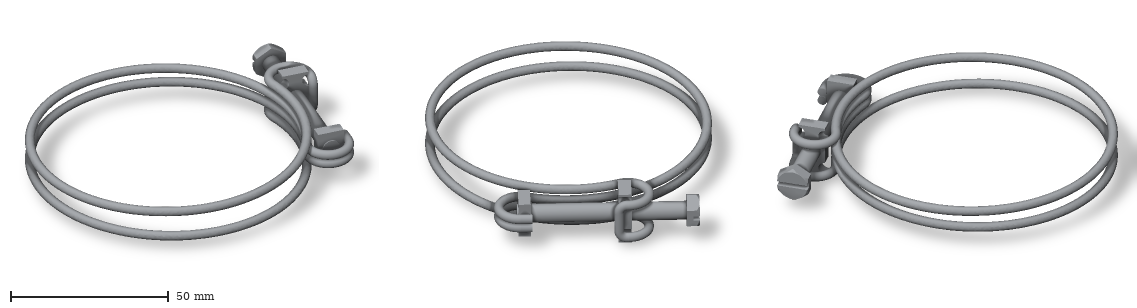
import cadquery as cq
import math


overall_length = 101.4
ring_outer_diameter = 91.0
wire_diameter = 3.0
outer_strand_z = 6.0
strand_gap = 0.1

hook_center_x = 17.1
clip_lead = 0.5
clip_bend_radius = 2.5
wire_end_length = 3.7
joint_length = 0.7

block_width = 8.7
block_hook_clearance = 0.05
spacer_thickness = 4.2
spacer_height = 18.0
spacer_left_x = -18.2
groove_radius = 2.1
nut_thickness = 3.9
nut_height = 12.0
nut_left_x = 13.9

shank_diameter = 6.0
shank_end_x = 18.2
head_left_x = -39.8
head_thickness = 4.1
head_across_flats = 10.0
head_face_diameter = 9.9
head_chamfer_length = 1.0
slot_width = 1.5
slot_depth = 2.0

wire_radius = wire_diameter / 2
ring_radius = (ring_outer_diameter - wire_diameter) / 2
inner_strand_z = wire_radius + strand_gap / 2
hook_top_y = overall_length - ring_outer_diameter / 2 - wire_radius

hook_radius = (hook_top_y**2 + hook_center_x**2 - ring_radius**2) / (2 * (hook_top_y + ring_radius))
hook_center_y = hook_top_y - hook_radius
hook_angle = math.atan2(hook_center_y, hook_center_x)
joint_angle = joint_length / ring_radius

block_top_y = hook_top_y - wire_radius - block_hook_clearance
bolt_y = block_top_y - block_width / 2


def on_ring(angle, z):
    return cq.Vector(ring_radius * math.cos(angle), ring_radius * math.sin(angle), z)


def ring_direction(angle, climb=0.0):
    """Unit tangent of the ring, counter-clockwise, climbing along Z by `climb` per unit length."""
    return cq.Vector(-math.sin(angle), math.cos(angle), climb).normalized()


def hook_arc(side, z):
    """Arc from the top of a hook, round its outside, to the ring; side is +1 (right) or -1 (left)."""
    top = cq.Vector(side * hook_center_x, hook_top_y, z)
    outside = cq.Vector(side * (hook_center_x + hook_radius), hook_center_y, z)
    foot = cq.Vector(side * ring_radius * math.cos(hook_angle), ring_radius * math.sin(hook_angle), z)
    return cq.Edge.makeThreePointArc(top, outside, foot)


def round_wire(edges, start, direction):
    """Sweep the round wire section along a smooth chain of edges."""
    section = cq.Workplane(cq.Plane(start, normal=direction)).circle(wire_radius)
    return section.sweep(cq.Workplane(cq.Wire.assembleEdges(edges)))


def ring_wire():
    free_end = cq.Vector(hook_center_x - wire_end_length, hook_top_y, inner_strand_z)
    hook_top = cq.Vector(hook_center_x, hook_top_y, inner_strand_z)
    ring_start = hook_angle
    ring_end = 3 * math.pi - hook_angle
    helix_start = ring_start + joint_angle
    helix_end = ring_end - joint_angle
    turn = helix_end - helix_start
    rise = outer_strand_z - inner_strand_z
    climb = rise / (turn * ring_radius)

    helix = cq.Wire.makeHelix(rise * 2 * math.pi / turn, rise, ring_radius)
    helix = helix.rotate(cq.Vector(), cq.Vector(0, 0, 1), math.degrees(helix_start))
    helix = helix.translate(cq.Vector(0, 0, inner_strand_z))
    first_joint = cq.Edge.makeSpline(
        [on_ring(ring_start, inner_strand_z), on_ring(helix_start, inner_strand_z)],
        tangents=[ring_direction(ring_start), ring_direction(helix_start, climb)],
    )
    last_joint = cq.Edge.makeSpline(
        [on_ring(helix_end, outer_strand_z), on_ring(ring_end, outer_strand_z)],
        tangents=[ring_direction(helix_end, climb), ring_direction(ring_end)],
    )
    edges = [
        cq.Edge.makeLine(free_end, hook_top),
        hook_arc(1, inner_strand_z),
        first_joint,
        *helix.Edges(),
        last_joint,
    ]
    return round_wire(edges, free_end, cq.Vector(1, 0, 0))


def wire_clip():
    bend_start_x = -hook_center_x + clip_lead
    crossbar_x = bend_start_x + clip_bend_radius
    bend_end_z = outer_strand_z - clip_bend_radius
    bend_diagonal = clip_bend_radius * math.sqrt(0.5)

    def at(x, z):
        return cq.Vector(x, hook_top_y, z)

    def corner(sign):
        return cq.Edge.makeThreePointArc(
            at(bend_start_x, sign * outer_strand_z),
            at(bend_start_x + bend_diagonal, sign * (bend_end_z + bend_diagonal)),
            at(crossbar_x, sign * bend_end_z),
        )

    def lead(sign):
        return cq.Edge.makeLine(
            at(-hook_center_x, sign * outer_strand_z), at(bend_start_x, sign * outer_strand_z)
        )

    edges = [
        hook_arc(-1, outer_strand_z),
        lead(1),
        corner(1),
        cq.Edge.makeLine(at(crossbar_x, bend_end_z), at(crossbar_x, -bend_end_z)),
        corner(-1),
        lead(-1),
        hook_arc(-1, -outer_strand_z),
    ]
    start_angle = math.pi - hook_angle
    return round_wire(edges, on_ring(start_angle, outer_strand_z), ring_direction(start_angle))


def bored_block(left_x, thickness, height):
    """Rectangular block with a hole that fits the bolt shank."""
    return (
        cq.Workplane("YZ", origin=(left_x, bolt_y, 0))
        .rect(block_width, height)
        .circle(shank_diameter / 2)
        .extrude(thickness)
    )


def spacer_block():
    """Tall block with round grooves along X that clear the clip wire."""
    grooves = (
        cq.Workplane("YZ", origin=(spacer_left_x, bolt_y, 0))
        .rect(block_width, 2 * outer_strand_z, forConstruction=True)
        .vertices()
        .circle(groove_radius)
        .extrude(spacer_thickness)
    )
    return bored_block(spacer_left_x, spacer_thickness, spacer_height).cut(grooves)


def clamp_bolt():
    corner_radius = head_across_flats / math.sqrt(3)
    face_radius = head_face_diameter / 2
    hexagon = (
        cq.Workplane("YZ", origin=(head_left_x, bolt_y, 0))
        .transformed(rotate=(0, 0, 90))
        .polygon(6, 2 * corner_radius)
        .extrude(head_thickness)
    )
    chamfer_limit = (
        cq.Workplane("XY", origin=(head_left_x, bolt_y, 0))
        .lineTo(0, face_radius)
        .lineTo(head_chamfer_length, corner_radius)
        .lineTo(head_thickness, corner_radius)
        .lineTo(head_thickness, 0)
        .close()
        .revolve(360, (0, 0, 0), (1, 0, 0))
    )
    slot = cq.Workplane("XY", origin=(head_left_x, bolt_y, 0)).box(
        2 * slot_depth, 2 * corner_radius, slot_width
    )
    shank_start_x = head_left_x + head_thickness
    shank = (
        cq.Workplane("YZ", origin=(shank_start_x, bolt_y, 0))
        .circle(shank_diameter / 2)
        .extrude(shank_end_x - shank_start_x)
    )
    return hexagon.intersect(chamfer_limit).cut(slot).union(shank)


upper_wire = ring_wire()
lower_wire = upper_wire.mirror("XY")
clip = wire_clip()
spacer = spacer_block()
nut = bored_block(nut_left_x, nut_thickness, nut_height)
bolt = clamp_bolt()

result = cq.Compound.makeCompound(
    [upper_wire.val(), lower_wire.val(), clip.val(), spacer.val(), nut.val(), bolt.val()]
)